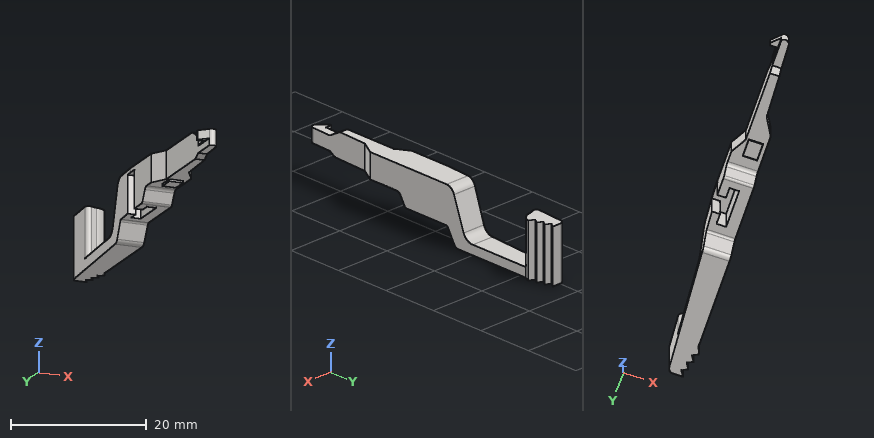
import cadquery as cq
import math


total_length = 52.65
total_width = 5.18
total_height = 9.75

body_width = 4.75
taper_start_y = 26.6
taper_slope = 0.067
left_shoulder_y = 18.84
neck_left_x = 1.41
neck_right_x = 3.2
right_shoulder_y = 14.8
shoulder_slope = math.tan(math.radians(60))
left_shoulder_end_y = left_shoulder_y - neck_left_x * shoulder_slope
right_shoulder_end_y = right_shoulder_y - (body_width - neck_right_x) * shoulder_slope

nose_radius = 0.72
nose_bottom = (1.98, 0)
nose_left_rise = math.sqrt(nose_radius**2 - (nose_bottom[0] - neck_left_x) ** 2)
nose_left = (neck_left_x, nose_radius - nose_left_rise)

arm_thickness = 1.75
body_bottom_z = 3.06
neck_bottom_z = 5.28
tip_bottom_z = 5.9
tip_top_z = 8.45
crank_upper_y = 32.07
crank_upper_angle = math.radians(70)
crank_lower_y = 32.8
crank_lower_angle = math.radians(60)
body_step_y = 22.2
body_step_angle = math.radians(60)
tip_bevel_y = 4.4
tip_bevel_angle = math.radians(30)
crank_inner_radius = 2.0
crank_top_radius = 1.7
crank_bottom_radius = 1.0
crank_under_radius = 0.5
step_radius = 0.8
step_bottom_radius = 0.5

knob_corner_y = 46.15
knob_front_break = (3.1, 46.82)
knob_arm_meeting = (body_width, 47.65)
knob_tip = (total_width, 48.6)
knob_front_radius = 0.6
knob_back_radius = 0.8
tooth_gaps = 3
tooth_pitch_x = 0.36
tooth_pitch_y = (total_length - knob_tip[1]) / tooth_gaps
tooth_root_offset = (0.95, 0.45)

hook_bottom_z = 7.0
hook_ramp_y = (4.3, 3.98)
hook_neck_x = 1.25
hook_top_y = 1.93
hook_point_y = 1.5
hook_point_x = 0.13

notch_y = (25.2, 27.88)
notch_top_z = 9.05
cavity_wall = 1.35
cavity_back_x = 2.85
cavity_overhang = 1.6

pad_x = (1.8, 4.03)
pad_y = (16.2, left_shoulder_y)
pad_bottom_z = 4.95


def taper_x(y):
    """X of the tapered left side at a given Y."""
    return (y - taper_start_y) * taper_slope


def nose_right():
    """Point where the right side of the neck runs tangent into the nose."""
    run_x = neck_right_x - nose_bottom[0]
    run_y = right_shoulder_end_y - nose_radius
    tilt = math.acos(nose_radius / math.hypot(run_x, run_y)) - math.atan2(run_y, run_x)
    x = nose_bottom[0] + nose_radius * math.cos(tilt)
    return (x, nose_radius * (1 - math.sin(tilt)))


def box(x_range, y_range, z_range):
    """Box between pairs of limits."""
    size = [high - low for low, high in (x_range, y_range, z_range)]
    corner = (x_range[0], y_range[0], z_range[0])
    return cq.Workplane("XY").box(*size, centered=False).translate(corner)


def plan_prism():
    """Plan outline of the lever without knob and hook, full height."""
    return (
        cq.Workplane("XY")
        .moveTo(*nose_left)
        .threePointArc(nose_bottom, nose_right())
        .lineTo(neck_right_x, right_shoulder_end_y)
        .lineTo(body_width, right_shoulder_y)
        .lineTo(*knob_arm_meeting)
        .lineTo(taper_x(knob_arm_meeting[1]), knob_arm_meeting[1])
        .lineTo(0, taper_start_y)
        .lineTo(0, left_shoulder_y)
        .lineTo(neck_left_x, left_shoulder_end_y)
        .close()
        .extrude(total_height)
    )


def side_prism():
    """Cranked side profile of the lever, wide enough to cover the plan outline and reaching past the nose."""
    crank_floor_y = crank_upper_y + (total_height - arm_thickness) / math.tan(crank_upper_angle)
    crank_under_y = crank_lower_y - body_bottom_z / math.tan(crank_lower_angle)
    step_top_y = body_step_y - (neck_bottom_z - body_bottom_z) / math.tan(body_step_angle)
    bevel_top_y = tip_bevel_y + (total_height - tip_top_z) / math.tan(tip_bevel_angle)
    bevel_bottom_y = tip_bevel_y + (tip_bottom_z - neck_bottom_z) / math.tan(tip_bevel_angle)
    rounded_edges = [
        (crank_floor_y, arm_thickness, crank_inner_radius),
        (crank_upper_y, total_height, crank_top_radius),
        (crank_lower_y, 0, crank_bottom_radius),
        (crank_under_y, body_bottom_z, crank_under_radius),
        (body_step_y, body_bottom_z, step_bottom_radius),
        (step_top_y, neck_bottom_z, step_radius),
    ]
    prism = (
        cq.Workplane("YZ")
        .moveTo(-nose_radius, tip_bottom_z)
        .lineTo(tip_bevel_y, tip_bottom_z)
        .lineTo(bevel_bottom_y, neck_bottom_z)
        .lineTo(step_top_y, neck_bottom_z)
        .lineTo(body_step_y, body_bottom_z)
        .lineTo(crank_under_y, body_bottom_z)
        .lineTo(crank_lower_y, 0)
        .lineTo(total_length, 0)
        .lineTo(total_length, arm_thickness)
        .lineTo(crank_floor_y, arm_thickness)
        .lineTo(crank_upper_y, total_height)
        .lineTo(bevel_top_y, total_height)
        .lineTo(tip_bevel_y, tip_top_z)
        .lineTo(-nose_radius, tip_top_z)
        .close()
        .extrude(total_width)
    )
    for y, z, radius in rounded_edges:
        edge = cq.selectors.NearestToPointSelector((total_width / 2, y, z))
        prism = prism.edges("|X").edges(edge).fillet(radius)
    return prism


def knob():
    """Full-height thumb knob with saw teeth on its right side."""
    corner = (taper_x(knob_corner_y), knob_corner_y)
    back_corner = (taper_x(total_length), total_length)
    outline = (
        cq.Workplane("XY")
        .moveTo(*corner)
        .lineTo(*knob_front_break)
        .threePointArc(knob_arm_meeting, knob_tip)
    )
    for tooth in range(tooth_gaps):
        tip_x = knob_tip[0] - tooth * tooth_pitch_x
        tip_y = knob_tip[1] + tooth * tooth_pitch_y
        outline = outline.lineTo(tip_x - tooth_root_offset[0], tip_y + tooth_root_offset[1])
        outline = outline.lineTo(tip_x - tooth_pitch_x, tip_y + tooth_pitch_y)
    prism = outline.lineTo(*back_corner).close().extrude(total_height)
    for (x, y), radius in ((corner, knob_front_radius), (back_corner, knob_back_radius)):
        edge = cq.selectors.NearestToPointSelector((x, y, total_height / 2))
        prism = prism.edges("|Z").edges(edge).fillet(radius)
    return prism


def hook():
    """Catch hook standing out to the left of the upper tip."""
    return (
        cq.Workplane("XY", origin=(0, 0, hook_bottom_z))
        .moveTo(neck_left_x, hook_ramp_y[0])
        .lineTo(hook_neck_x, hook_ramp_y[1])
        .lineTo(hook_neck_x, hook_top_y)
        .lineTo(hook_point_x, hook_top_y)
        .lineTo(hook_point_x, hook_point_y)
        .lineTo(*nose_left)
        .lineTo(nose_bottom[0], hook_ramp_y[0])
        .close()
        .extrude(tip_top_z - hook_bottom_z)
    )


def notch_and_cavity():
    """Side notch and the wider cavity behind it, both open at the body underside."""
    cavity_y = (notch_y[0] - cavity_overhang, notch_y[1] + cavity_overhang)
    notch = box((-cavity_wall, cavity_back_x), notch_y, (0, notch_top_z))
    cavity = box((cavity_wall, cavity_back_x), cavity_y, (0, notch_top_z))
    return notch.union(cavity)


lever = plan_prism().intersect(side_prism())
pad = box(pad_x, pad_y, (pad_bottom_z, neck_bottom_z))
result = lever.union(knob()).union(hook()).union(pad).cut(notch_and_cavity())